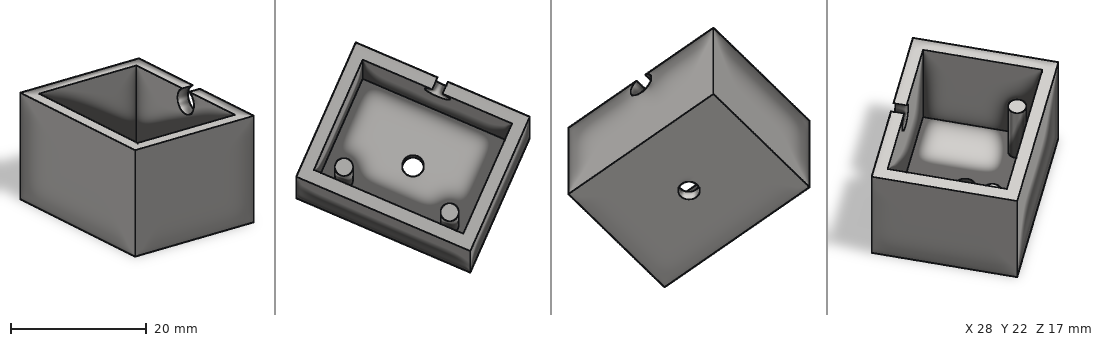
import cadquery as cq
import math

length = 28.0
width = 22.0
height = 17.0
wall = 2.0
floor = wall

floor_hole_diameter = 3.2

peg_diameter = 2.7
peg_height = 10.0
peg_spacing = 17.0
peg_y = -6.0

notch_diameter = 4.0
notch_opening = 1.65


def make_box():
    outer = cq.Workplane("XY").box(length, width, height, centered=(True, True, False))
    cavity = (
        cq.Workplane("XY", origin=(0, 0, floor))
        .rect(length - 2 * wall, width - 2 * wall)
        .extrude(height - floor)
    )
    return outer.cut(cavity)


def make_floor_hole():
    return cq.Workplane("XY").circle(floor_hole_diameter / 2).extrude(floor)


def make_pegs():
    peg_x = peg_spacing / 2
    return (
        cq.Workplane("XY", origin=(0, 0, floor))
        .pushPoints([(-peg_x, peg_y), (peg_x, peg_y)])
        .circle(peg_diameter / 2)
        .extrude(peg_height)
    )


def make_notch():
    notch_radius = notch_diameter / 2
    centre_depth = math.sqrt(notch_radius**2 - (notch_opening / 2) ** 2)
    return (
        cq.Workplane("XZ", origin=(0, width / 2, height - centre_depth))
        .circle(notch_radius)
        .extrude(wall)
    )


result = make_box().cut(make_floor_hole()).cut(make_notch()).union(make_pegs())